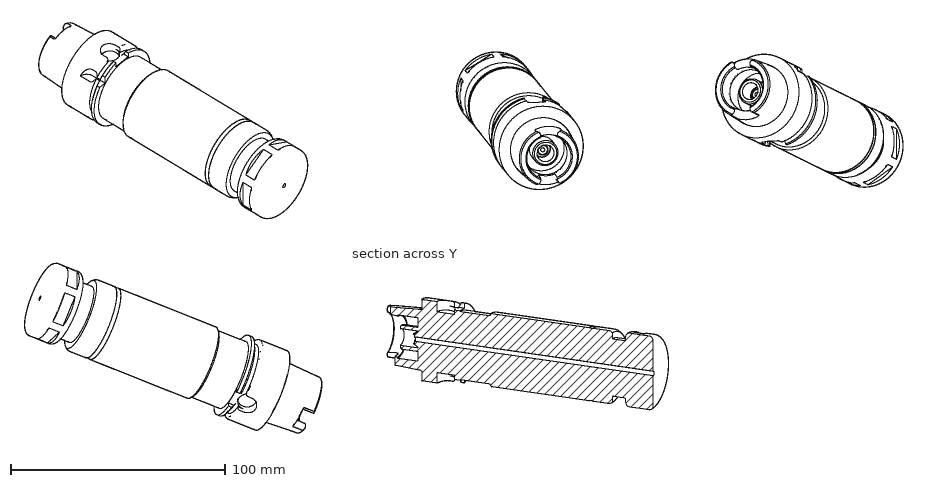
import cadquery as cq
import math

total_length = 140.0

end_chamfer_length = 0.5
end_face_radius = 13.5
taper_front_radius = 28.1 / 2
taper_back_radius = 15.0
taper_end_x = 17.8
relief_bottom_x = 18.6
relief_bottom_radius = 14.8
root_fillet = 0.5

flange_face_x = 19.9
flange_radius = 20.0
flange_length = 20.0
flange_end_x = flange_face_x + flange_length
groove_floor_radius = 17.4
groove_rim_round = 1.0
groove_start_x = 34.9
groove_floor_end_x = 36.8
groove_far_rim_x = 38.2

waist_radius = 16.8
body_radius = 36.0 / 2
body_start_x = 55.0
body_ramp_length = 1.0
body_end_x = 118.9
body_end_round_length = 2.1
body_end_round_radius = 2.8
body_end_round_drop = body_end_round_radius - math.sqrt(
    body_end_round_radius**2 - body_end_round_length**2
)
ring_groove_start_x = 106.7
ring_groove_end_x = 108.8
ring_groove_depth = 0.1
neck_radius = 14.1

nut_start_x = 125.6
nut_radius = 18.2
nut_fillet = 2.2
flat_count = 6
first_flat_angle = 90
flat_apothem = 16.7
flat_start_x = 129.0
flat_end_x = 134.3
flat_ramp_length = 0.8
flat_cutter_clearance = 0.8
flat_cutter_top = nut_radius + flat_cutter_clearance

mouth_radius = 11.0
mouth_chamfer = 0.5
bore_radius = mouth_radius - mouth_chamfer
lip_radius = 10.0
lip_x = 7.5
bore_depth = 17.8
tube_radius = 6.0
tube_chamfer = 0.7
tube_tip_x = 8.8
tube_bore_radius = 8.0 / 2
nose_base_radius = 3.8
nose_tip_radius = 2.5
nose_length = 2.1
nose_recess_radius = 2.2
nose_recess_depth = 0.4
coolant_hole_radius = 1.0

notch_half_width = 3.9
notch_corner_radius = 0.5
notch_edge_round = 2.1
top_notch_depth = 3.5
bottom_notch_depth = 5.9

slot_centre_x = 32.3
slot_radius = 8.8 / 2
slot_floor = 17.1
pocket_floor = 15.0
corner_slot_wall = 12.2
corner_slot_floor = 12.0


def revolve_about_x(profile):
    return profile.close().revolve(360, (0, 0, 0), (1, 0, 0))


def outer_body():
    profile = (
        cq.Workplane("XY")
        .lineTo(0, end_face_radius)
        .lineTo(end_chamfer_length, taper_front_radius)
        .lineTo(taper_end_x, taper_back_radius)
        .lineTo(relief_bottom_x, relief_bottom_radius)
        .lineTo(flange_face_x - root_fillet, taper_back_radius)
        .radiusArc((flange_face_x, taper_back_radius + root_fillet), -root_fillet)
        .lineTo(flange_face_x, flange_radius)
        .lineTo(groove_start_x - groove_rim_round, flange_radius)
        .radiusArc((groove_start_x, flange_radius - groove_rim_round), groove_rim_round)
        .lineTo(groove_start_x, groove_floor_radius)
        .lineTo(groove_floor_end_x, groove_floor_radius)
        .lineTo(groove_far_rim_x, flange_radius)
        .lineTo(flange_end_x, flange_radius)
        .lineTo(flange_end_x, waist_radius)
        .lineTo(body_start_x, waist_radius)
        .lineTo(body_start_x + body_ramp_length, body_radius)
        .lineTo(ring_groove_start_x, body_radius)
        .lineTo(ring_groove_start_x, body_radius - ring_groove_depth)
        .lineTo(ring_groove_end_x, body_radius - ring_groove_depth)
        .lineTo(ring_groove_end_x, body_radius)
        .lineTo(body_end_x - body_end_round_length, body_radius)
        .radiusArc((body_end_x, body_radius - body_end_round_drop), body_end_round_radius)
        .lineTo(body_end_x, neck_radius)
        .lineTo(nut_start_x, neck_radius)
        .lineTo(nut_start_x, nut_radius - nut_fillet)
        .radiusArc((nut_start_x + nut_fillet, nut_radius), nut_fillet)
        .lineTo(total_length - nut_fillet, nut_radius)
        .radiusArc((total_length, nut_radius - nut_fillet), nut_fillet)
        .lineTo(total_length, 0)
    )
    return revolve_about_x(profile)


def bore_space():
    """Space between the shank wall and the coolant tube."""
    profile = (
        cq.Workplane("XY")
        .lineTo(0, mouth_radius)
        .lineTo(mouth_chamfer, bore_radius)
        .lineTo(lip_x, lip_radius)
        .lineTo(lip_x, bore_radius)
        .lineTo(bore_depth, bore_radius)
        .lineTo(bore_depth, tube_radius)
        .lineTo(tube_tip_x + tube_chamfer, tube_radius)
        .lineTo(tube_tip_x, tube_radius - tube_chamfer)
        .lineTo(tube_tip_x, 0)
    )
    return revolve_about_x(profile)


def tube_bore():
    """Bore of the coolant tube, ending around a conical nose."""
    nose_tip_x = bore_depth - nose_length
    profile = (
        cq.Workplane("XY")
        .moveTo(tube_tip_x, 0)
        .lineTo(tube_tip_x, tube_bore_radius)
        .lineTo(bore_depth, tube_bore_radius)
        .lineTo(bore_depth, nose_base_radius)
        .lineTo(nose_tip_x, nose_tip_radius)
        .lineTo(nose_tip_x, nose_recess_radius)
        .lineTo(nose_tip_x + nose_recess_depth, nose_recess_radius)
        .lineTo(nose_tip_x + nose_recess_depth, 0)
    )
    return revolve_about_x(profile)


def coolant_hole():
    return cq.Workplane("YZ").circle(coolant_hole_radius).extrude(total_length)


def drive_notch(depth, side):
    """Notch through the shank wall at +Z (side = 1) or -Z (side = -1)."""
    flare_half_width = notch_half_width + notch_edge_round
    shoulder_z = math.sqrt(taper_front_radius**2 - flare_half_width**2)
    notch = (
        cq.Workplane("YZ")
        .moveTo(-notch_half_width, 0)
        .lineTo(-notch_half_width, shoulder_z - notch_edge_round)
        .radiusArc((-flare_half_width, shoulder_z), -notch_edge_round)
        .lineTo(-flare_half_width, flange_radius)
        .lineTo(flare_half_width, flange_radius)
        .lineTo(flare_half_width, shoulder_z)
        .radiusArc((notch_half_width, shoulder_z - notch_edge_round), -notch_edge_round)
        .lineTo(notch_half_width, 0)
        .close()
        .extrude(depth)
        .faces(">X")
        .edges()
        .fillet(notch_corner_radius)
    )
    return notch if side > 0 else notch.mirror("XY")


def flange_slot(centre_y, floor_z, end_floor_z):
    """Slot cut from +Z, open at the far end of the flange, with a round end pocket."""
    end_pocket = (
        cq.Workplane("XY", origin=(slot_centre_x, centre_y, end_floor_z))
        .circle(slot_radius)
        .extrude(flange_radius - end_floor_z)
    )
    run_length = flange_end_x - slot_centre_x
    run = cq.Workplane("XY", origin=(slot_centre_x, centre_y, floor_z)).box(
        run_length, 2 * slot_radius, flange_radius - floor_z, centered=(False, True, False)
    )
    return end_pocket.union(run)


def nut_flat(angle):
    """Spanner flat facing +Z, turned about the X axis by the given angle."""
    cutter = (
        cq.Workplane("XZ")
        .moveTo(flat_start_x, flat_apothem)
        .lineTo(flat_end_x, flat_apothem)
        .lineTo(flat_end_x, flat_cutter_top)
        .lineTo(flat_start_x - flat_ramp_length, flat_cutter_top)
        .close()
        .extrude(nut_radius, both=True)
    )
    return cutter.rotate((0, 0, 0), (1, 0, 0), angle)


result = outer_body().cut(bore_space()).cut(tube_bore()).cut(coolant_hole())
result = result.cut(drive_notch(top_notch_depth, 1))
result = result.cut(drive_notch(bottom_notch_depth, -1))
centre_slot = flange_slot(0, slot_floor, pocket_floor)
result = result.cut(centre_slot).cut(centre_slot.mirror("XY"))
corner_slot_y = -corner_slot_wall - slot_radius
result = result.cut(flange_slot(corner_slot_y, corner_slot_floor, corner_slot_floor))
for index in range(flat_count):
    result = result.cut(nut_flat(first_flat_angle + index * 360 / flat_count))